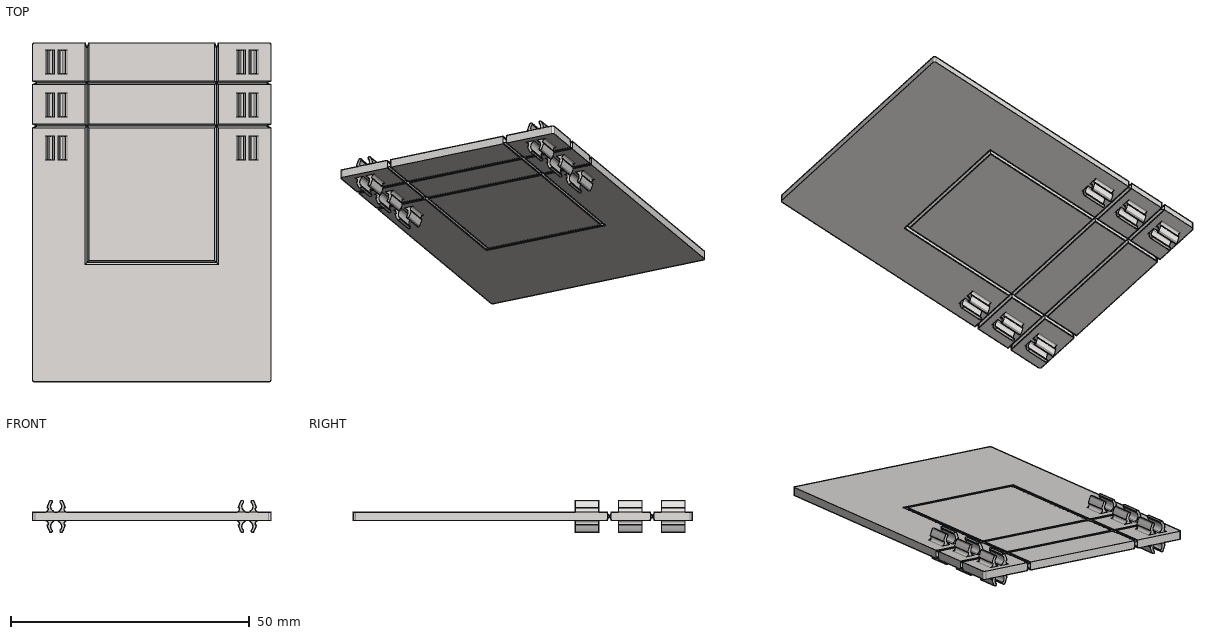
import cadquery as cq


WIDTH = 50.0
LENGTH = 71.0
THICKNESS = 1.8
TOTAL_HEIGHT = 6.75
CORNER_RADIUS = 0.5
TOP = THICKNESS / 2
SIDE = WIDTH / 2
REAR = LENGTH / 2

GROOVE_WIDTH = 0.8
GROOVE_WALL = 0.2
HINGE_THICKNESS = 0.3
GROOVE_DEPTH = (THICKNESS - HINGE_THICKNESS) / 2
NOTCH_DEPTH = 1.0
FIRST_FOLD = 8.4
FOLD_PITCH = 9.0
CROSS_FOLDS = 2
SIDE_FOLD_X = 13.55
SIDE_FOLD_LENGTH = 46.0
SIDE_FOLD_END = REAR - SIDE_FOLD_LENGTH

CLIP_ROWS = CROSS_FOLDS + 1
CLIP_LENGTH = 5.0
CLIP_INSET = 5.0
CLIP_X = SIDE - CLIP_INSET
FIRST_CLIP = (FIRST_FOLD - GROOVE_WIDTH / 2) / 2

JAW_HEIGHT = (TOTAL_HEIGHT - THICKNESS) / 2
ROD_RADIUS = 1.15
ROD_HEIGHT = 1.2
THROAT_X = 0.6
LIP_X = 0.8
LIP_TOP = 2.3
TIP_OUTER = (1.35, 2.35)
TIP_X = (LIP_X + TIP_OUTER[0]) / 2
OUTER_BULGE = (1.7, 1.55)
BARB = (1.9, 0.9)
NECK = (1.7, 0.85)
FOOT_FLARE = (1.85, 0.2)
FOOT_OUTER_X = 2.3
FOOT_INNER_X = 0.35
EMBED = 0.15


def with_mirror(body, plane):
    return body.union(body.mirror(plane))


def make_plate():
    plate = cq.Workplane("XY").box(WIDTH, LENGTH, THICKNESS)
    return plate.edges("|Z").fillet(CORNER_RADIUS)


def groove_section(plane, origin):
    """Groove outline with its mouth centred on the origin and its ridge pointing along local -Y."""
    half = GROOVE_WIDTH / 2
    points = [(-half, 0), (-half, -GROOVE_WALL), (0, -GROOVE_DEPTH), (half, -GROOVE_WALL), (half, 0)]
    return cq.Workplane(plane, origin=origin).polyline(points).close()


def cross_fold(y):
    """Groove across both faces, with a V-notch in each side edge."""
    groove = groove_section("YZ", (-SIDE, y, TOP)).extrude(WIDTH)
    half = GROOVE_WIDTH / 2
    notch_points = [(SIDE, y - half), (SIDE, y + half), (SIDE - NOTCH_DEPTH, y)]
    notch = cq.Workplane("XY").polyline(notch_points).close().extrude(TOP, both=True)
    return with_mirror(groove, "XY").union(with_mirror(notch, "YZ"))


def side_folds():
    """U-shaped groove in both faces, with a V-notch where each leg meets the rear edge."""
    corners = [
        (-SIDE_FOLD_X, REAR),
        (-SIDE_FOLD_X, SIDE_FOLD_END),
        (SIDE_FOLD_X, SIDE_FOLD_END),
        (SIDE_FOLD_X, REAR),
    ]
    path = cq.Workplane("XY", origin=(0, 0, TOP)).polyline(corners)
    groove = groove_section("XZ", (-SIDE_FOLD_X, REAR, TOP)).sweep(path, transition="right")
    half = GROOVE_WIDTH / 2
    notch_points = [
        (SIDE_FOLD_X - half, REAR),
        (SIDE_FOLD_X + half, REAR),
        (SIDE_FOLD_X, REAR - NOTCH_DEPTH),
    ]
    notch = cq.Workplane("XY").polyline(notch_points).close().extrude(TOP, both=True)
    return with_mirror(groove, "XY").union(with_mirror(notch, "YZ"))


def make_jaw():
    """Jaw on the +X side of a clip, centred on Y = 0, standing on Z = 0."""
    lip_z = ROD_HEIGHT + (ROD_RADIUS**2 - LIP_X**2) ** 0.5
    throat_z = ROD_HEIGHT - (ROD_RADIUS**2 - THROAT_X**2) ** 0.5
    return (
        cq.Workplane("XZ")
        .moveTo(FOOT_INNER_X, -EMBED)
        .lineTo(FOOT_INNER_X, 0)
        .lineTo(THROAT_X, throat_z)
        .threePointArc((ROD_RADIUS, ROD_HEIGHT), (LIP_X, lip_z))
        .lineTo(LIP_X, LIP_TOP)
        .threePointArc((TIP_X, JAW_HEIGHT), TIP_OUTER)
        .threePointArc(OUTER_BULGE, BARB)
        .lineTo(*NECK)
        .threePointArc(FOOT_FLARE, (FOOT_OUTER_X, 0))
        .lineTo(FOOT_OUTER_X, -EMBED)
        .close()
        .extrude(CLIP_LENGTH / 2, both=True)
    )


def make_clip():
    """Clip on the top face and its mirror image on the bottom face, centred on X = Y = 0."""
    top_clip = with_mirror(make_jaw(), "YZ").translate((0, 0, TOP))
    return with_mirror(top_clip, "XY")


result = make_plate().cut(side_folds())

for fold in range(CROSS_FOLDS):
    result = result.cut(cross_fold(REAR - FIRST_FOLD - fold * FOLD_PITCH))

clip = make_clip()
for row in range(CLIP_ROWS):
    clip_y = REAR - FIRST_CLIP - row * FOLD_PITCH
    for clip_x in (-CLIP_X, CLIP_X):
        result = result.union(clip.translate((clip_x, clip_y, 0)))